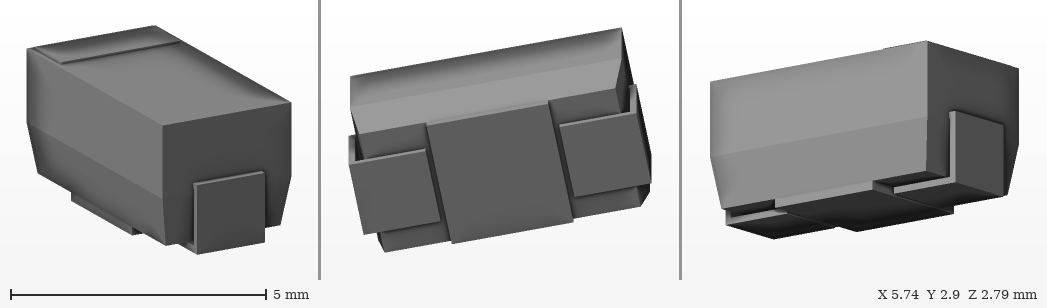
import cadquery as cq

overall_length = 5.744
overall_width = 2.90
overall_height = 2.79

terminal_thickness = 0.13
terminal_width = 1.524
terminal_height = 1.44
terminal_foot_length = 1.535
terminal_clearance = 0.027

mark_thickness = 0.05
mark_length = 1.08
mark_margin = 0.115

housing_length = overall_length - 2 * (terminal_thickness + terminal_clearance)
housing_width = overall_width
housing_top_z = overall_height - mark_thickness
parting_z = 1.22
pad_height = 0.178
pad_length = 2.43
taper_inset = 0.16
housing_bottom_length = housing_length - 2 * taper_inset
housing_bottom_width = housing_width - 2 * taper_inset

mark_width = housing_width - 2 * mark_margin


def make_housing():
    upper = (
        cq.Workplane("XY", origin=(0, 0, parting_z))
        .rect(housing_length, housing_width)
        .extrude(housing_top_z - parting_z)
    )
    lower = (
        cq.Workplane("XY", origin=(0, 0, pad_height))
        .rect(housing_bottom_length, housing_bottom_width)
        .workplane(offset=parting_z - pad_height)
        .rect(housing_length, housing_width)
        .loft(ruled=True)
    )
    pad = (
        cq.Workplane("XY")
        .rect(pad_length, housing_bottom_width)
        .extrude(pad_height)
    )
    return upper.union(lower).union(pad)


def make_polarity_mark():
    center_x = -housing_length / 2 + mark_margin + mark_length / 2
    return (
        cq.Workplane("XY", origin=(center_x, 0, housing_top_z))
        .rect(mark_length, mark_width)
        .extrude(mark_thickness)
    )


def make_terminal(side):
    """Build the terminal at the -X end (side = -1) or the +X end (side = 1)."""
    outer_x = side * overall_length / 2
    inner_x = outer_x - side * terminal_thickness
    tab_x = side * housing_length / 2
    foot_x = outer_x - side * terminal_foot_length
    profile = [
        (outer_x, 0),
        (outer_x, terminal_height),
        (tab_x, terminal_height),
        (tab_x, terminal_height - terminal_thickness),
        (inner_x, terminal_height - terminal_thickness),
        (inner_x, terminal_thickness),
        (foot_x, terminal_thickness),
        (foot_x, 0),
    ]
    return (
        cq.Workplane("XZ")
        .polyline(profile)
        .close()
        .extrude(terminal_width / 2, both=True)
    )


housing = make_housing()
polarity_mark = make_polarity_mark()
terminals = [make_terminal(side) for side in (-1, 1)]

result = cq.Compound.makeCompound(
    [housing.val(), polarity_mark.val(), *[terminal.val() for terminal in terminals]]
)